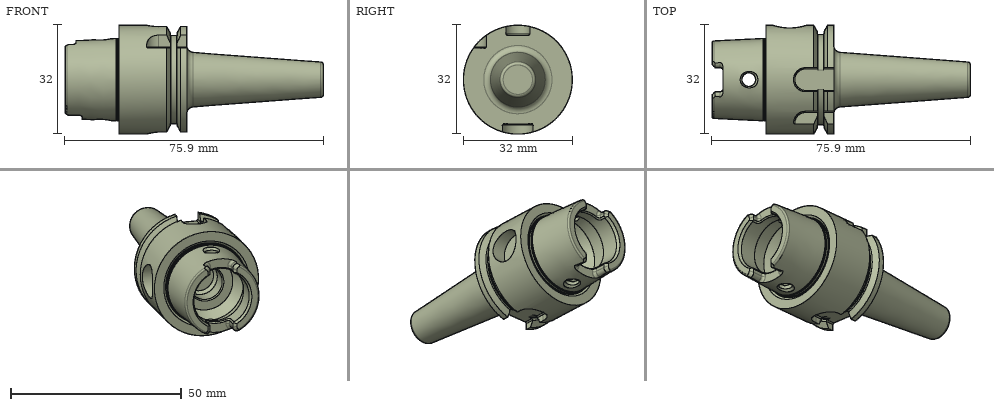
import cadquery as cq
import math


overall_length = 75.9
flange_face_x = 15.8
flange_end_x = 35.75
flange_radius = 16.0

taper_mouth_radius = 11.4
taper_end_x = 14.9
taper_slope = 0.05
taper_end_radius = taper_mouth_radius + taper_slope * taper_end_x
mouth_edge_fillet = 0.5

relief_depth = 0.1
relief_flank_width = 0.2
relief_recess = 0.45
recess_outer_radius = 13.1
recess_floor_radius = 12.45

groove_start_x = 29.8
groove_end_x = 33.9
groove_floor_radius = 13.3
groove_flank_width = 1.1
groove_flank_angle = math.radians(60)
groove_flank_foot_radius = flange_radius - groove_flank_width * math.tan(groove_flank_angle)
groove_floor_chamfer = 0.2

shank_root_radius = 8.2
shank_tip_radius = 5.15
shank_root_fillet = 2.0
shank_tip_fillet = 0.9

bore_mouth_radius = 9.0
bore_radius = 8.5
bore_mouth_depth = 0.9
bore_end_x = 6.5
clamp_radius = 10.25
clamp_shoulder_angle = math.radians(60)
cavity_cone_angle = math.radians(30)
clamp_start_x = bore_end_x + (clamp_radius - bore_radius) / math.tan(clamp_shoulder_angle)
clamp_end_x = 12.3
cavity_floor_radius = 8.1
cavity_floor_x = clamp_end_x + (clamp_radius - cavity_floor_radius) / math.tan(cavity_cone_angle)
socket_mouth_radius = 5.4
socket_radius = 5.0
socket_tip_radius = 4.25
socket_cone_start_x = 21.25
socket_floor_x = socket_cone_start_x + (socket_radius - socket_tip_radius) / math.tan(cavity_cone_angle)

drive_half_width = 3.5
drive_edge_radius = 1.3
drive_inner_chamfer = 0.4
drive_corner_fillet = 0.8
drive_mouth_chamfer = 0.9
upper_drive_depth = 3.2
lower_drive_depth = 5.0

cross_hole_x = 10.8
cross_hole_radius = 2.0
cross_hole_sink_radius = 2.65

key_slot_tip_x = 23.9
key_slot_width = 7.05
wide_key_slot_width = 9.0
key_slot_floor = 13.0
corner_notch_wall = 9.25
key_slot_floor_chamfer = 0.4

chip_pocket_x = 22.8
chip_pocket_radius = 5.0
chip_pocket_depth = 4.5

cutter_overrun = 0.75
selection_margin = 0.04


def revolve_about_x(points):
    """Revolve a closed (x, radius) outline about the X axis."""
    outline = cq.Workplane("XY").polyline(points).close()
    return outline.revolve(360, (0, 0, 0), (1, 0, 0))


def circle_edge_at(x, radius):
    """Selector for the full circular edge at the given x and radius."""
    margin = selection_margin
    return cq.selectors.BoxSelector(
        (x - margin, -radius - margin, -radius - margin),
        (x + margin, radius + margin, radius + margin),
        boundingbox=True,
    )


def turned_body():
    """Solid taper, grooved flange and tapered shank."""
    relief_radius = taper_end_radius - relief_depth
    recess_floor_x = flange_face_x + relief_recess
    groove_left_x = groove_start_x + groove_flank_width
    groove_right_x = groove_end_x - groove_flank_width
    body = revolve_about_x([
        (0, 0),
        (0, taper_mouth_radius),
        (taper_end_x, taper_end_radius),
        (taper_end_x + relief_flank_width, relief_radius),
        (taper_end_x + 2 * relief_flank_width, relief_radius),
        (taper_end_x + 3 * relief_flank_width, taper_end_radius),
        (recess_floor_x, taper_end_radius),
        (recess_floor_x, recess_floor_radius),
        (flange_face_x, recess_outer_radius),
        (flange_face_x, flange_radius),
        (groove_start_x, flange_radius),
        (groove_left_x, groove_flank_foot_radius),
        (groove_left_x, groove_floor_radius + groove_floor_chamfer),
        (groove_left_x + groove_floor_chamfer, groove_floor_radius),
        (groove_right_x - groove_floor_chamfer, groove_floor_radius),
        (groove_right_x, groove_floor_radius + groove_floor_chamfer),
        (groove_right_x, groove_flank_foot_radius),
        (groove_end_x, flange_radius),
        (flange_end_x, flange_radius),
        (flange_end_x, shank_root_radius),
        (overall_length, shank_tip_radius),
        (overall_length, 0),
    ])
    body = body.edges(circle_edge_at(0, taper_mouth_radius)).fillet(mouth_edge_fillet)
    body = body.edges(circle_edge_at(flange_end_x, shank_root_radius)).fillet(shank_root_fillet)
    return body.edges(circle_edge_at(overall_length, shank_tip_radius)).fillet(shank_tip_fillet)


def cavity():
    """Stepped bore of the hollow taper with a smaller socket in its floor."""
    return revolve_about_x([
        (0, 0),
        (0, bore_mouth_radius),
        (bore_mouth_depth, bore_radius),
        (bore_end_x, bore_radius),
        (clamp_start_x, clamp_radius),
        (clamp_end_x, clamp_radius),
        (cavity_floor_x, cavity_floor_radius),
        (cavity_floor_x, socket_mouth_radius),
        (cavity_floor_x + socket_mouth_radius - socket_radius, socket_radius),
        (socket_cone_start_x, socket_radius),
        (socket_floor_x, socket_tip_radius),
        (socket_floor_x, 0),
    ])


def drive_slot_outline(plane_x, half_width, contact_radius):
    """Slot section in YZ whose walls round over until they touch the circle of contact_radius."""
    centre_y = half_width + drive_edge_radius
    centre_distance = contact_radius - drive_edge_radius
    centre_z = math.sqrt(centre_distance ** 2 - centre_y ** 2)
    contact_angle = math.atan2(centre_z, centre_y)
    middle_angle = (math.pi + contact_angle) / 2

    def on_edge(angle, side):
        y = centre_y + drive_edge_radius * math.cos(angle)
        return (side * y, centre_z + drive_edge_radius * math.sin(angle))

    contact_y = on_edge(contact_angle, 1)[0]
    return (
        cq.Workplane("YZ", origin=(plane_x, 0, 0))
        .moveTo(half_width, 0)
        .lineTo(half_width, centre_z)
        .threePointArc(on_edge(middle_angle, 1), on_edge(contact_angle, 1))
        .lineTo(contact_y, flange_radius)
        .lineTo(-contact_y, flange_radius)
        .lineTo(*on_edge(contact_angle, -1))
        .threePointArc(on_edge(middle_angle, -1), (-half_width, centre_z))
        .lineTo(-half_width, 0)
        .close()
    )


def drive_slot(depth):
    """Drive slot on the +Z side: rounded floor corners and a chamfered mouth."""
    contact_radius = taper_mouth_radius + taper_slope * depth
    mouth_half_width = drive_half_width + drive_mouth_chamfer
    slot = drive_slot_outline(0, drive_half_width, contact_radius).extrude(depth)
    slot = slot.faces(">X").edges("not(<Z or >Z)").fillet(drive_corner_fillet)
    wide = drive_slot_outline(0, mouth_half_width, contact_radius).wires().val()
    narrow = drive_slot_outline(drive_mouth_chamfer, drive_half_width, contact_radius).wires().val()
    return slot.union(cq.Workplane(cq.Solid.makeLoft([wide, narrow], True)))


def cross_hole():
    """Hole along Z through both walls of the taper, countersunk on the outside."""
    sink_depth = cross_hole_sink_radius - cross_hole_radius
    surface = taper_mouth_radius + taper_slope * cross_hole_x
    half_hole = (
        cq.Workplane("XZ", origin=(cross_hole_x, 0, 0))
        .polyline([
            (0, 0),
            (cross_hole_radius, 0),
            (cross_hole_radius, surface - sink_depth),
            (cross_hole_sink_radius, surface),
            (cross_hole_sink_radius, flange_radius),
            (0, flange_radius),
        ])
        .close()
        .revolve(360, (0, 0, 0), (0, 1, 0))
    )
    return half_hole.union(half_hole.mirror("XY"))


def key_slot(width, centre_y, floor_z):
    """Round-ended slot open toward +X and +Z with a chamfer around its floor."""
    radius = width / 2
    centre_x = key_slot_tip_x + radius
    return (
        cq.Workplane("XY", origin=(0, 0, floor_z))
        .moveTo(flange_end_x + cutter_overrun, centre_y - radius)
        .lineTo(centre_x, centre_y - radius)
        .threePointArc((key_slot_tip_x, centre_y), (centre_x, centre_y + radius))
        .lineTo(flange_end_x + cutter_overrun, centre_y + radius)
        .close()
        .extrude(flange_radius - floor_z + cutter_overrun)
        .faces("<Z").edges("not >X")
        .chamfer(key_slot_floor_chamfer)
    )


def chip_pocket():
    """Blind round pocket sunk from the +Y side."""
    return (
        cq.Workplane("XZ", origin=(chip_pocket_x, flange_radius, 0))
        .circle(chip_pocket_radius)
        .extrude(chip_pocket_depth)
    )


def chamfer_drive_slot_inner_edges(body):
    """Break the edges where the drive slots open into the bore."""
    margin = selection_margin
    side = drive_half_width + margin
    for z_sign in (1, -1):
        region = cq.selectors.BoxSelector(
            (bore_mouth_depth - margin, -side, z_sign * drive_half_width),
            (max(upper_drive_depth, lower_drive_depth) + margin, side, z_sign * (bore_radius + margin)),
            boundingbox=True,
        )
        body = body.edges(region).chamfer(drive_inner_chamfer)
    return body


corner_notch_centre_y = -corner_notch_wall - key_slot_width / 2

holder = (
    turned_body()
    .cut(cavity())
    .cut(drive_slot(upper_drive_depth))
    .cut(drive_slot(lower_drive_depth).mirror("XY"))
    .cut(cross_hole())
    .cut(key_slot(key_slot_width, 0, key_slot_floor))
    .cut(key_slot(wide_key_slot_width, 0, key_slot_floor).mirror("XY"))
    .cut(key_slot(key_slot_width, corner_notch_centre_y, corner_notch_wall))
    .cut(chip_pocket())
)

result = chamfer_drive_slot_inner_edges(holder)